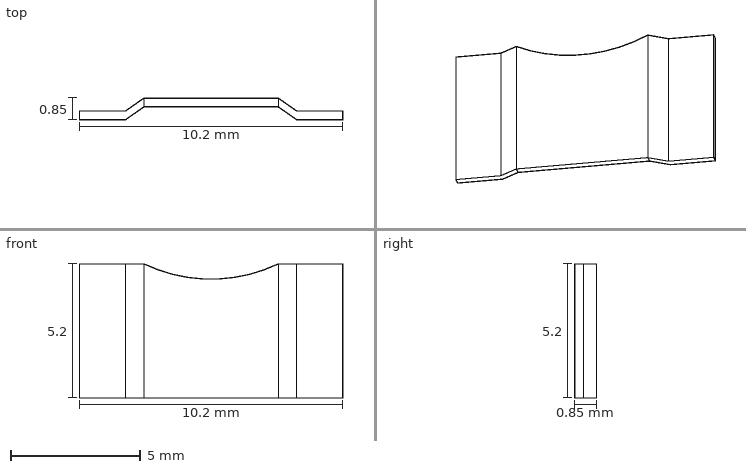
import cadquery as cq

length = 10.2
height = 5.2
depth = 0.85
thickness = 0.35
bridge_length = 5.2
ramp_run = 0.71
scoop_depth = 0.59

half_length = length / 2
half_bridge = bridge_length / 2
ramp_foot = half_bridge + ramp_run
rise = depth - thickness


def make_bridge():
    """Raised middle plate with an arc scooped out of its whole top edge."""
    return (
        cq.Workplane("XZ", origin=(0, depth, 0))
        .moveTo(-half_bridge, 0)
        .lineTo(half_bridge, 0)
        .lineTo(half_bridge, height)
        .threePointArc((0, height - scoop_depth), (-half_bridge, height))
        .close()
        .extrude(thickness)
    )


def make_end_tab(side):
    """Flat tab and the ramp up to the bridge; side is -1 (left) or 1 (right)."""
    front_edge = [(half_length, 0), (ramp_foot, 0), (half_bridge, rise)]
    back_edge = [(x, y + thickness) for x, y in reversed(front_edge)]
    outline = [(side * x, y) for x, y in front_edge + back_edge]
    return cq.Workplane("XY").polyline(outline).close().extrude(height)


bridge = make_bridge()
end_tabs = [make_end_tab(side) for side in (-1, 1)]

result = cq.Compound.makeCompound([bridge.val(), *[tab.val() for tab in end_tabs]])